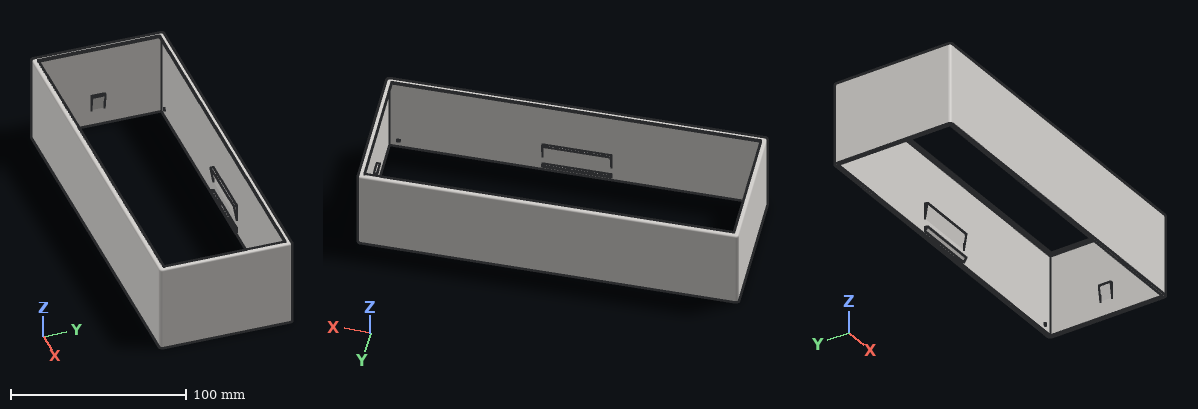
import cadquery as cq

LENGTH = 222.5
WIDTH = 80.5
HEIGHT = 54.5
WALL = 2.0
CORNER_RADIUS = 2.0
TOP_RADIUS = 1.1

LIP_OVERHANG = 1.5
LIP_HEIGHT = 1.1

CATCH_DEPTH = 1.8
LONG_CATCH_LENGTH = 40.0
SHORT_CATCH_LENGTH = 8.0
UPPER_CATCH_TOP = 20.7
UPPER_CATCH_HEIGHT = 10.0
LOWER_CATCH_TOP = 5.0
LOWER_CATCH_HEIGHT = 2.7

DIMPLE_DIAMETER = 1.5
DIMPLE_DEPTH = 1.0
DIMPLE_END_DISTANCE = 5.1
DIMPLE_HEIGHT = 5.0

INNER_LENGTH = LENGTH - 2 * WALL
INNER_WIDTH = WIDTH - 2 * WALL
BASE_Z = -HEIGHT / 2
EMBED = WALL / 2


def make_frame():
    """Build the sleeve with rounded outer edges and the overhanging top lip."""
    body = cq.Workplane("XY").box(LENGTH, WIDTH, HEIGHT)
    body = body.edges("|Z").fillet(CORNER_RADIUS)
    body = body.faces(">Z").edges().fillet(TOP_RADIUS)
    cavity_height = HEIGHT - LIP_HEIGHT
    cavity = (
        cq.Workplane("XY", origin=(0, 0, BASE_Z))
        .rect(INNER_LENGTH, INNER_WIDTH)
        .extrude(cavity_height)
    )
    opening_length = INNER_LENGTH - 2 * LIP_OVERHANG
    opening_width = INNER_WIDTH - 2 * LIP_OVERHANG
    opening = cq.Workplane("XY").box(opening_length, opening_width, HEIGHT)
    return body.cut(cavity).cut(opening)


def make_catch(wall_distance, length, top, height):
    """Build a catch on the +Y wall: flat on top, tapering into the wall below."""
    top_z = BASE_Z + top
    bottom_z = top_z - height
    profile = [
        (wall_distance + EMBED, top_z),
        (wall_distance - CATCH_DEPTH, top_z),
        (wall_distance, bottom_z),
        (wall_distance + EMBED, bottom_z),
    ]
    return cq.Workplane("YZ").polyline(profile).close().extrude(length / 2, both=True)


def make_dimple(x, side):
    """Build the cutter for a dimple in the inside of the +Y (side 1) or -Y (side -1) wall."""
    start = cq.Vector(x, side * INNER_WIDTH / 2, BASE_Z + DIMPLE_HEIGHT)
    return cq.Solid.makeCylinder(DIMPLE_DIAMETER / 2, DIMPLE_DEPTH, start, cq.Vector(0, side, 0))


result = make_frame()

for turn in (0, 180):
    catches = [
        make_catch(INNER_WIDTH / 2, LONG_CATCH_LENGTH, UPPER_CATCH_TOP, UPPER_CATCH_HEIGHT),
        make_catch(INNER_WIDTH / 2, LONG_CATCH_LENGTH, LOWER_CATCH_TOP, LOWER_CATCH_HEIGHT),
        make_catch(
            INNER_LENGTH / 2, SHORT_CATCH_LENGTH, UPPER_CATCH_TOP, UPPER_CATCH_HEIGHT
        ).rotate((0, 0, 0), (0, 0, 1), -90),
    ]
    for catch in catches:
        result = result.union(catch.rotate((0, 0, 0), (0, 0, 1), turn))

dimple_x = INNER_LENGTH / 2 - DIMPLE_END_DISTANCE
for side in (1, -1):
    for x in (dimple_x, -dimple_x):
        result = result.cut(cq.Workplane(obj=make_dimple(x, side)))